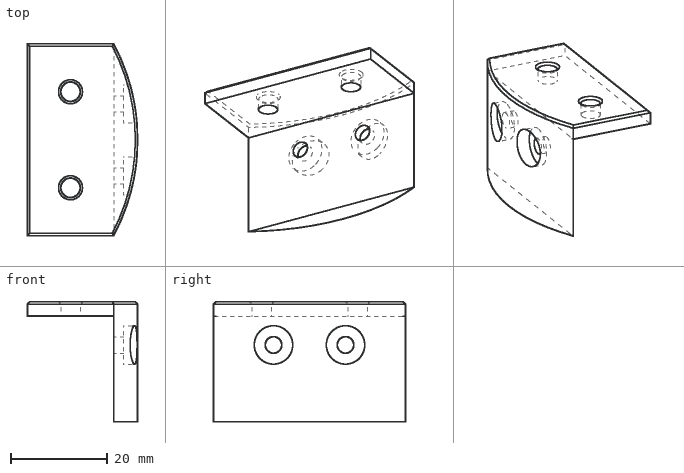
import cadquery as cq

length = 40.0
height = 25.0
flange_thickness = 3.0
wall_back = 18.0
arc_rise = 5.0
top_chamfer = 0.5

flange_hole_diameter = 4.0
flange_hole_mouth = 5.0
flange_hole_x = 9.0
flange_hole_spacing = 20.0

screw_hole_diameter = 3.4
screw_head_diameter = 8.0
screw_spacing = 15.0
screw_drop = 9.0
screw_seat = 2.0

half_length = length / 2
depth = wall_back + arc_rise
screw_z = height - screw_drop


def make_flange():
    """Horizontal plate with its top rim chamfered."""
    plate = (
        cq.Workplane("XY")
        .moveTo(0, -half_length)
        .lineTo(wall_back, -half_length)
        .threePointArc((depth, 0), (wall_back, half_length))
        .lineTo(0, half_length)
        .close()
        .extrude(flange_thickness)
    )
    plate = plate.faces(">Z").edges().chamfer(top_chamfer)
    return plate.translate((0, 0, height - flange_thickness))


def make_wall():
    """Vertical wall, flat inside and bowed outside."""
    wall = (
        cq.Workplane("XY")
        .moveTo(wall_back, -half_length)
        .threePointArc((depth, 0), (wall_back, half_length))
        .close()
    )
    return wall.extrude(height - flange_thickness)


def flange_hole(y):
    """Vertical through hole with a 45 degree countersunk mouth."""
    sink_depth = (flange_hole_mouth - flange_hole_diameter) / 2
    drill = (
        cq.Workplane("XY")
        .circle(flange_hole_diameter / 2)
        .extrude(height)
    )
    cone = cq.Solid.makeCone(flange_hole_diameter / 2, flange_hole_mouth / 2, sink_depth)
    sink = cq.Workplane(cone).translate((0, 0, height - sink_depth))
    return drill.union(sink).translate((flange_hole_x, y, 0))


def screw_hole(y):
    """Horizontal through hole with a head counterbore opening at the bowed +X face."""
    drill = cq.Workplane("YZ").circle(screw_hole_diameter / 2).extrude(arc_rise)
    head = (
        cq.Workplane("YZ", origin=(screw_seat, 0, 0))
        .circle(screw_head_diameter / 2)
        .extrude(arc_rise - screw_seat)
    )
    return drill.union(head).translate((wall_back, y, screw_z))


result = make_flange().union(make_wall())
for side in (-1, 1):
    result = result.cut(flange_hole(side * flange_hole_spacing / 2))
    result = result.cut(screw_hole(side * screw_spacing / 2))